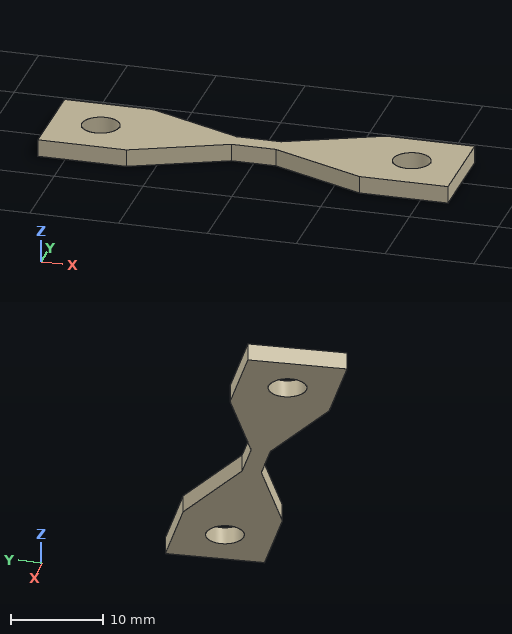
import cadquery as cq

length = 46.2
width = 11.0
thickness = 2.0

neck_length = 5.0
neck_width = 2.13

tab_length = 10.0
hole_diameter = 4.2
hole_spacing = 35.0

half_length = length / 2
half_width = width / 2
half_neck_length = neck_length / 2
half_neck_width = neck_width / 2
taper_start = half_length - tab_length

upper_edge = [
    (-half_length, half_width),
    (-taper_start, half_width),
    (-half_neck_length, half_neck_width),
    (half_neck_length, half_neck_width),
    (taper_start, half_width),
    (half_length, half_width),
]
lower_edge = [(x, -y) for x, y in reversed(upper_edge)]

plate = cq.Workplane("XY").polyline(upper_edge + lower_edge).close().extrude(thickness)

hole_centers = [(-hole_spacing / 2, 0), (hole_spacing / 2, 0)]
result = plate.faces(">Z").workplane(origin=(0, 0, thickness)).pushPoints(hole_centers).hole(hole_diameter)